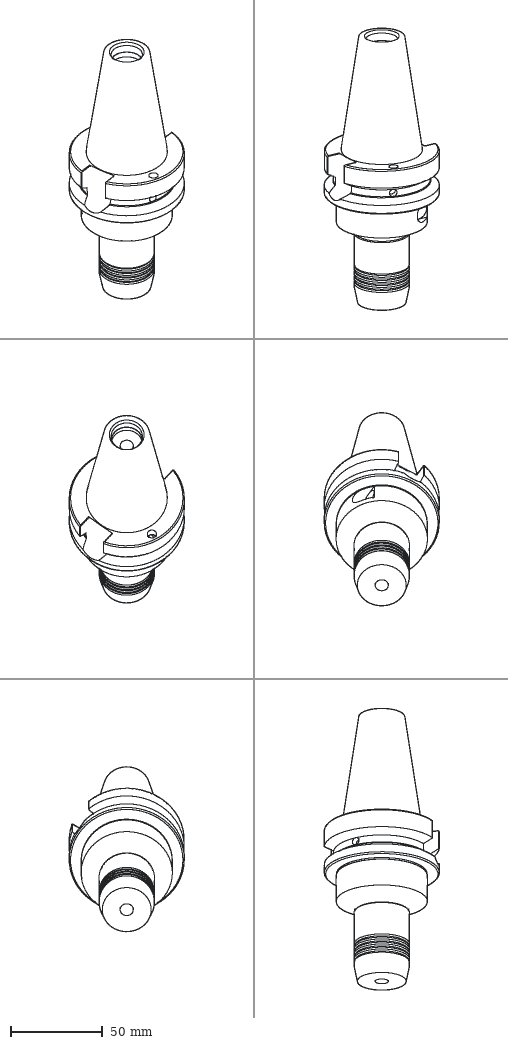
import cadquery as cq
import math

overall_height = 155.4

taper_ratio = 7 / 24
shank_base_z = 90.1
shank_base_diameter = 44.3
shank_base_radius = shank_base_diameter / 2
shank_edge_radius = 0.8
shank_top_radius = shank_base_radius - (overall_height - shank_base_z) * taper_ratio / 2

flange_diameter = 63.0
flange_radius = flange_diameter / 2
flange_top_z = 89.0
flange_bottom_z = 63.0
flange_edge_chamfer = 0.8
relief_radius = 23.5
relief_depth = 0.3
groove_radius = 26.4
flank_slope = math.radians(30)
groove_floor_top_z = 75.5
groove_floor_bottom_z = 71.5
groove_corner_width = 0.39
groove_corner_height = 0.5
groove_corner_z = groove_floor_bottom_z - groove_corner_height
groove_flank_height = (flange_radius - groove_radius) * math.tan(flank_slope)
lower_flank_width = flange_radius - groove_radius - groove_corner_width
lower_flank_end_z = groove_corner_z - lower_flank_width * math.tan(flank_slope)

body_diameter = 49.9
body_radius = body_diameter / 2
body_relief_depth = 0.2
body_relief_height = 1.0
body_bottom_z = 46.8

nose_diameter = 30.3
nose_radius = nose_diameter / 2
neck_radius = 14.6
neck_bottom_z = 40.9
neck_fillet_radius = 2.6
shoulder_slope = math.radians(15)
shoulder_end_z = body_bottom_z - (body_radius - neck_radius) * math.tan(shoulder_slope)
nose_cone_height = 8.9
nose_tip_radius = 13.4
ring_count = 4
ring_pitch = 3.0
ring_width = 1.9
ring_depth = 0.5
top_ring_z = 21.0

drill_half_angle = 60.0

mouth_radius = 9.5
mouth_depth = 1.5
counterbore_radius = 8.5
counterbore_depth = 5.9
thread_radius = 8.4
thread_depth = 9.0
core_radius = 6.8
core_depth = 9.6
coolant_radius = 3.5
coolant_depth = core_depth + (core_radius - coolant_radius) / math.tan(math.radians(drill_half_angle))

keyway_width = 16.2
keyway_floor = 22.5
keyway_arc_z = 74.3
keyway_floor_fillet = 0.5
keyway_edge_chamfer = 0.39

port_angle = 20.0
face_port_radius = 2.5
face_port_pitch_radius = 26.9
face_port_depth = 4.7
cross_hole_radius = 1.4
cross_hole_pitch_radius = 26.0
cross_hole_depth = 10.9
groove_port_diameter = 4.2
groove_port_radius = groove_port_diameter / 2
groove_port_depth = 3.9
groove_port_z = (groove_floor_top_z + groove_floor_bottom_z) / 2

pocket_radius = 5.5
pocket_y = -12.9
pocket_z = 56.3
pocket_floor_x = -16.6
pocket_tip_half_angle = 45.0


def make_body():
    """Revolved solid of shank, flange, body and nose, without bores or cut-outs."""
    half_turn = (math.pi / 2 - shoulder_slope) / 2
    fillet_tangent = neck_fillet_radius * math.tan(half_turn)
    fillet_end_z = shoulder_end_z - fillet_tangent
    fillet_center_r = neck_radius + neck_fillet_radius
    fillet_mid = (
        fillet_center_r - neck_fillet_radius * math.cos(half_turn),
        fillet_end_z + neck_fillet_radius * math.sin(half_turn),
    )
    fillet_start = (
        neck_radius + fillet_tangent * math.cos(shoulder_slope),
        shoulder_end_z + fillet_tangent * math.sin(shoulder_slope),
    )
    neck_step = nose_radius - neck_radius
    profile = (
        cq.Workplane("XZ")
        .moveTo(0, 0)
        .lineTo(nose_tip_radius, 0)
        .lineTo(nose_radius, nose_cone_height)
    )
    for index in reversed(range(ring_count)):
        ring_z = top_ring_z - index * ring_pitch
        profile = (
            profile.lineTo(nose_radius, ring_z - ring_width / 2)
            .lineTo(nose_radius - ring_depth, ring_z)
            .lineTo(nose_radius, ring_z + ring_width / 2)
        )
    profile = (
        profile.lineTo(nose_radius, neck_bottom_z - neck_step)
        .lineTo(neck_radius, neck_bottom_z)
        .lineTo(neck_radius, fillet_end_z)
        .threePointArc(fillet_mid, fillet_start)
        .lineTo(body_radius, body_bottom_z)
        .lineTo(body_radius, flange_bottom_z - body_relief_height)
        .lineTo(body_radius - body_relief_depth, flange_bottom_z - body_relief_height)
        .lineTo(body_radius - body_relief_depth, flange_bottom_z)
        .lineTo(flange_radius - flange_edge_chamfer, flange_bottom_z)
        .lineTo(flange_radius, flange_bottom_z + flange_edge_chamfer)
        .lineTo(flange_radius, lower_flank_end_z)
        .lineTo(groove_radius + groove_corner_width, groove_corner_z)
        .lineTo(groove_radius, groove_floor_bottom_z)
        .lineTo(groove_radius, groove_floor_top_z)
        .lineTo(flange_radius, groove_floor_top_z + groove_flank_height)
        .lineTo(flange_radius, flange_top_z - flange_edge_chamfer)
        .lineTo(flange_radius - flange_edge_chamfer, flange_top_z)
        .lineTo(relief_radius, flange_top_z)
        .lineTo(shank_base_radius, flange_top_z - relief_depth)
        .lineTo(shank_base_radius, shank_base_z)
        .lineTo(shank_top_radius, overall_height)
        .lineTo(0, overall_height)
        .close()
    )
    body = profile.revolve(360, (0, 0, 0), (0, 1, 0))
    return body.faces(">Z").edges().fillet(shank_edge_radius)


def make_bore():
    """Stepped through bore cutter, widening towards the shank end."""
    steps = [
        (coolant_radius, coolant_depth),
        (core_radius, core_depth),
        (thread_radius, thread_depth),
        (thread_radius, counterbore_depth),
        (counterbore_radius, counterbore_depth),
        (counterbore_radius, mouth_depth),
        (mouth_radius, 0),
    ]
    profile = cq.Workplane("XZ").lineTo(coolant_radius, 0)
    for radius, depth in steps:
        profile = profile.lineTo(radius, overall_height - depth)
    return profile.lineTo(0, overall_height).close().revolve(360, (0, 0, 0), (0, 1, 0))


def make_keyway(side):
    """Keyway cutter on the +Y or -Y side, open at the top and rounded at the bottom."""
    half_width = keyway_width / 2
    slot = (
        cq.Workplane("XZ", origin=(0, side * keyway_floor, 0))
        .moveTo(-half_width, shank_base_z)
        .lineTo(-half_width, keyway_arc_z)
        .threePointArc((0, keyway_arc_z - half_width), (half_width, keyway_arc_z))
        .lineTo(half_width, shank_base_z)
        .close()
        .extrude(-side * flange_radius)
    )
    floor_face = "<Y" if side > 0 else ">Y"
    return slot.faces(floor_face).edges("not >Z").fillet(keyway_floor_fillet)


def make_keyway_rim(side):
    """Flared cutter that breaks the top and outer edges of the keyway walls by 45 degrees."""
    half_width = keyway_width / 2
    flare = 2 * keyway_edge_chamfer
    narrow_z = flange_top_z - keyway_edge_chamfer
    wall_end_y = math.sqrt(flange_radius**2 - half_width**2)
    narrow_y = side * (wall_end_y - keyway_edge_chamfer)
    top_flare = (
        cq.Workplane("XZ", origin=(0, side * keyway_floor, 0))
        .moveTo(-half_width, narrow_z)
        .lineTo(half_width, narrow_z)
        .lineTo(half_width + flare, narrow_z + flare)
        .lineTo(-half_width - flare, narrow_z + flare)
        .close()
        .extrude(-side * flange_radius)
    )
    outer_flare = (
        cq.Workplane("XY", origin=(0, 0, groove_floor_top_z))
        .moveTo(-half_width, narrow_y)
        .lineTo(half_width, narrow_y)
        .lineTo(half_width + flare, narrow_y + side * flare)
        .lineTo(-half_width - flare, narrow_y + side * flare)
        .close()
        .extrude(flange_top_z - groove_floor_top_z)
    )
    return top_flare.union(outer_flare)


def drill(radius, depth, tip_half_angle):
    """Blind drill along -Z from the origin with a conical tip."""
    tip_length = radius / math.tan(math.radians(tip_half_angle))
    return (
        cq.Workplane("XZ")
        .lineTo(radius, 0)
        .lineTo(radius, -depth)
        .lineTo(0, -depth - tip_length)
        .close()
        .revolve(360, (0, 0, 0), (0, 1, 0))
    )


def make_ports():
    """Face port, its eccentric cross hole and the groove port, all on the -X side."""
    face_port = drill(face_port_radius, face_port_depth, drill_half_angle)
    cross_hole = drill(cross_hole_radius, cross_hole_depth, drill_half_angle)
    groove_port = drill(groove_port_radius, groove_port_depth, drill_half_angle)
    return (
        face_port.translate((-face_port_pitch_radius, 0, flange_top_z))
        .union(cross_hole.translate((-cross_hole_pitch_radius, 0, flange_top_z)))
        .union(groove_port.rotate((0, 0, 0), (0, 1, 0), -90).translate((-groove_radius, 0, groove_port_z)))
    )


def make_pocket():
    """Round pocket from the -X side, milled open towards -Y, with a conical floor."""
    depth = body_radius + pocket_floor_x
    bore = (
        drill(pocket_radius, depth, pocket_tip_half_angle)
        .rotate((0, 0, 0), (0, 1, 0), -90)
        .translate((-body_radius, pocket_y, pocket_z))
    )
    run_out = cq.Workplane("XY").box(depth, body_radius, 2 * pocket_radius, centered=(False, False, True))
    return bore.union(run_out.translate((-body_radius, pocket_y - body_radius, pocket_z)))


result = make_body().cut(make_bore())
for side in (1, -1):
    result = result.cut(make_keyway(side)).cut(make_keyway_rim(side))

ports = make_ports()
for turn in (-port_angle, 180 - port_angle):
    result = result.cut(ports.rotate((0, 0, 0), (0, 0, 1), turn))

result = result.cut(make_pocket())